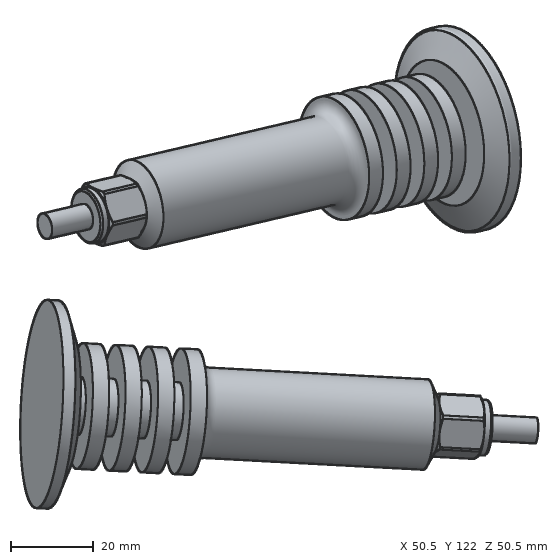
import cadquery as cq
import math

total_length = 122.0

flange_diameter = 50.5
flange_face_diameter = 36.0
flange_rim_width = 2.6
flange_edge_round = 0.5
flange_thickness = 5.9

core_diameter = 14.0
fin_diameter = 30.5
fin_count = 4
fin_thickness = 4.0
fin_pitch = 2 * fin_thickness
first_fin_station = 9.4
fins_end = first_fin_station + (fin_count - 1) * fin_pitch + fin_thickness

body_diameter = 22.0
body_root_radius = 3.2
body_end = 94.8
nose_diameter = 14.0
nose_end = 97.0

nut_sides = 6
nut_across_flats = 14.0
nut_corner_diameter = 15.7
nut_end = 108.0
nut_chamfer_angle = 30.0
collar_diameter = 13.5
collar_end = 110.0
collar_chamfer = 0.5
cable_diameter = 6.3


def revolve_about_y(profile):
    return profile.close().revolve(360, (0, 0, 0), (0, 1, 0))


def rod(diameter, start, end):
    """Cylinder along Y between two stations."""
    return cq.Workplane("XZ", origin=(0, -start, 0)).circle(diameter / 2).extrude(end - start)


def make_flange():
    rim_radius = flange_diameter / 2
    round_diagonal = flange_edge_round * math.sqrt(0.5)
    round_center_x = rim_radius - flange_edge_round
    profile = (
        cq.Workplane("XY")
        .lineTo(rim_radius, 0)
        .lineTo(rim_radius, -flange_rim_width)
        .threePointArc(
            (round_center_x + round_diagonal, -flange_rim_width - round_diagonal),
            (round_center_x, -flange_rim_width - flange_edge_round),
        )
        .lineTo(flange_face_diameter / 2, -flange_thickness)
        .lineTo(0, -flange_thickness)
    )
    return revolve_about_y(profile)


def make_finned_core():
    core = rod(core_diameter, flange_thickness, fins_end)
    for index in range(fin_count):
        start = first_fin_station + index * fin_pitch
        core = core.union(rod(fin_diameter, start, start + fin_thickness))
    return core


def make_body():
    body_radius = body_diameter / 2
    root_center_x = body_radius + body_root_radius
    root_end = fins_end + body_root_radius
    root_diagonal = body_root_radius * math.sqrt(0.5)
    profile = (
        cq.Workplane("XY")
        .moveTo(0, -fins_end)
        .lineTo(root_center_x, -fins_end)
        .threePointArc(
            (root_center_x - root_diagonal, -root_end + root_diagonal),
            (body_radius, -root_end),
        )
        .lineTo(body_radius, -body_end)
        .lineTo(nose_diameter / 2, -nose_end)
        .lineTo(0, -nose_end)
    )
    return revolve_about_y(profile)


def make_nut():
    flat_radius = nut_across_flats / 2
    corner_radius = nut_corner_diameter / 2
    chamfer_length = (corner_radius - flat_radius) * math.tan(math.radians(nut_chamfer_angle))
    hex_diameter = nut_across_flats / math.cos(math.pi / nut_sides)
    hexagon = (
        cq.Workplane("XZ", origin=(0, -nose_end, 0))
        .polygon(nut_sides, hex_diameter)
        .extrude(nut_end - nose_end)
    )
    turned_blank = revolve_about_y(
        cq.Workplane("XY")
        .moveTo(0, -nose_end)
        .lineTo(flat_radius, -nose_end)
        .lineTo(corner_radius, -nose_end - chamfer_length)
        .lineTo(corner_radius, -nut_end + chamfer_length)
        .lineTo(flat_radius, -nut_end)
        .lineTo(0, -nut_end)
    )
    return hexagon.intersect(turned_blank)


def make_collar():
    return rod(collar_diameter, nut_end, collar_end).faces("<Y").chamfer(collar_chamfer)


result = (
    make_flange()
    .union(make_finned_core())
    .union(make_body())
    .union(make_nut())
    .union(make_collar())
    .union(rod(cable_diameter, collar_end, total_length))
)